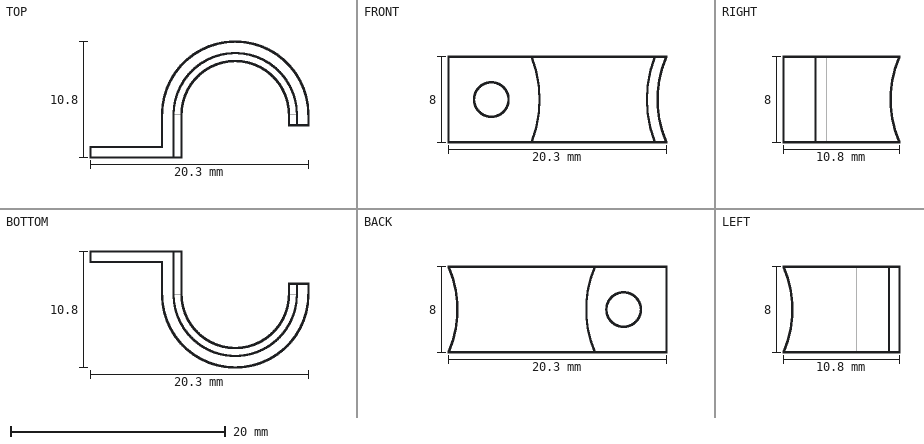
import cadquery as cq
import math

width = 8.0
thickness = 1.0
ring_inner_radius = 5.0
flare_outer_radius = 10.0
leg_length = 4.0
free_end_length = 1.0
tab_reach = 13.5
hole_diameter = 3.2
hole_edge_distance = 4.0

half_width = width / 2
ring_outer_radius = ring_inner_radius + thickness
flare_inner_radius = flare_outer_radius + thickness


def flared_radius(mid_radius, flare_radius):
    """Distance from the ring axis at the band's edges."""
    return mid_radius + flare_radius - math.sqrt(flare_radius**2 - half_width**2)


inner_edge_radius = flared_radius(ring_inner_radius, flare_inner_radius)
outer_edge_radius = flared_radius(ring_outer_radius, flare_outer_radius)


def band_section(side):
    """Band cross-section on the XZ plane; side is -1 for the leg, +1 for the free end."""
    return (
        cq.Workplane("XZ")
        .moveTo(side * inner_edge_radius, -half_width)
        .lineTo(side * outer_edge_radius, -half_width)
        .threePointArc((side * ring_outer_radius, 0), (side * outer_edge_radius, half_width))
        .lineTo(side * inner_edge_radius, half_width)
        .threePointArc((side * ring_inner_radius, 0), (side * inner_edge_radius, -half_width))
        .close()
    )


def half_ring():
    """Band section swept half a turn about Z, over the +Y side."""
    return band_section(1).revolve(180, (0, 0, 0), (0, 1, 0))


def mounting_tab():
    """Flat tab that ends on the band's curved inner face."""
    return (
        cq.Workplane("XZ", origin=(0, -leg_length, 0))
        .moveTo(-tab_reach, -half_width)
        .lineTo(-inner_edge_radius, -half_width)
        .threePointArc((-ring_inner_radius, 0), (-inner_edge_radius, half_width))
        .lineTo(-tab_reach, half_width)
        .close()
        .extrude(-thickness)
    )


def screw_hole():
    """Cylinder that cuts the screw hole through the tab."""
    return (
        cq.Workplane("XZ", origin=(hole_edge_distance - tab_reach, -leg_length, 0))
        .circle(hole_diameter / 2)
        .extrude(-thickness)
    )


leg = band_section(-1).extrude(leg_length)
free_end = band_section(1).extrude(free_end_length)

result = half_ring().union(leg).union(free_end).union(mounting_tab()).cut(screw_hole())